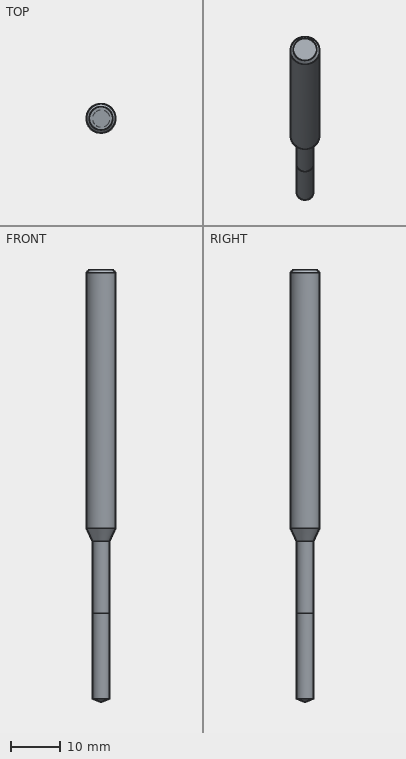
import cadquery as cq

total_length = 87.6
shank_diameter = 6.0
drill_diameter = 3.5

point_height = 0.7
split_height = 18.05
taper_bottom = 32.6
taper_top = 35.2

end_chamfer = 0.6

shank_radius = shank_diameter / 2
drill_radius = drill_diameter / 2


def revolve_profile(points):
    """Turn a half outline of (radius, height) points about the Z axis."""
    return cq.Workplane("XZ").polyline(points).close().revolve(360, (0, 0), (0, 1))


def make_cutting_tip():
    """Cylindrical cutting length with a conical point."""
    return revolve_profile([
        (0, 0),
        (drill_radius, point_height),
        (drill_radius, split_height),
        (0, split_height),
    ])


def make_shank():
    """Neck, taper and chamfered shank, seated on the cutting tip."""
    return revolve_profile([
        (0, split_height),
        (drill_radius, split_height),
        (drill_radius, taper_bottom),
        (shank_radius, taper_top),
        (shank_radius, total_length - end_chamfer),
        (shank_radius - end_chamfer, total_length),
        (0, total_length),
    ])


cutting_tip = make_cutting_tip()
shank = make_shank()

result = cq.Compound.makeCompound([cutting_tip.val(), shank.val()])